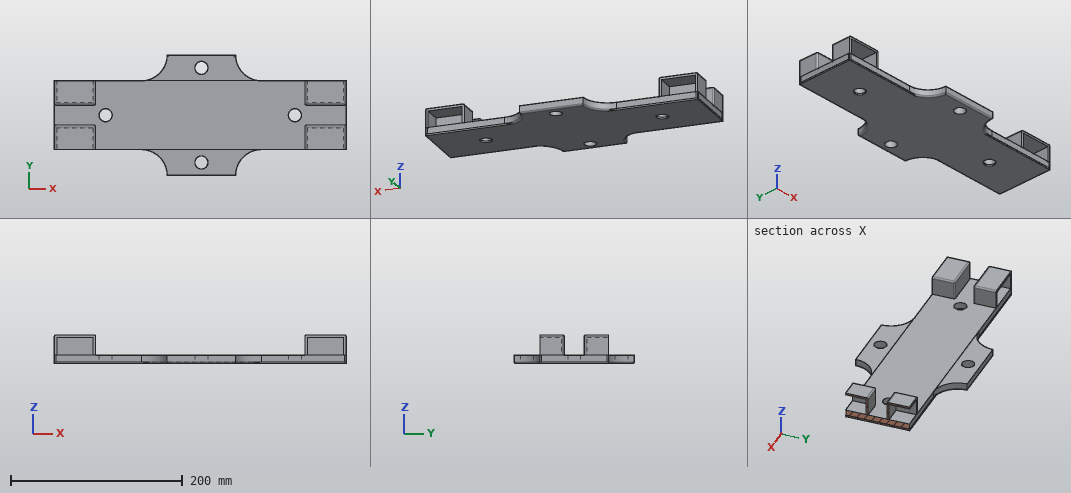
import cadquery as cq
import math

length = 340.0
strip_width = 80.2
plate_height = 10.0
edge_radius = 2.0

wing_depth = 30.0
wing_width = 80.0
wing_offset_x = 1.5
flank_radius = wing_depth

web_height = edge_radius

hole_diameter = 15.0
strip_hole_x = 110.0
wing_hole_y = 55.0

total_height = 33.3
box_length = 48.3
box_width = 28.5
box_height = total_height - plate_height
box_wall = 3.0

half_strip = strip_width / 2
corners = [(-1, -1), (-1, 1), (1, -1), (1, 1)]


def strip_block(bottom, height):
    """Sharp-edged block on the strip's outline, starting at the given height."""
    return cq.Workplane("XY").workplane(offset=bottom).rect(length, strip_width).extrude(height)


def drill_holes(body):
    """Cut the four mounting holes straight through a body."""
    centers = [
        (-strip_hole_x, 0),
        (strip_hole_x, 0),
        (wing_offset_x, -wing_hole_y),
        (wing_offset_x, wing_hole_y),
    ]
    holes = cq.Workplane("XY").pushPoints(centers).circle(hole_diameter / 2).extrude(plate_height)
    return body.cut(holes)


def make_strip():
    """Long bar with rounded corners that lies on the web, between the wings."""
    bar = strip_block(web_height, plate_height - web_height)
    return drill_holes(bar.edges("|Z").fillet(edge_radius))


def wing_blank():
    """Both wings and the stretch between them, with rounded bottom edges."""
    half_edge = wing_width / 2
    half_root = half_edge + flank_radius
    outer_y = half_strip + wing_depth
    arc_middle = flank_radius * math.sin(math.radians(45))
    middle_x = half_root - arc_middle
    middle_y = outer_y - arc_middle
    blank = (
        cq.Workplane("XY")
        .moveTo(-half_root, -half_strip)
        .threePointArc((-middle_x, -middle_y), (-half_edge, -outer_y))
        .lineTo(half_edge, -outer_y)
        .threePointArc((middle_x, -middle_y), (half_root, -half_strip))
        .lineTo(half_root, half_strip)
        .threePointArc((middle_x, middle_y), (half_edge, outer_y))
        .lineTo(-half_edge, outer_y)
        .threePointArc((-middle_x, middle_y), (-half_root, half_strip))
        .close()
        .extrude(plate_height)
        .faces("<Z")
        .fillet(edge_radius)
    )
    return blank.translate((wing_offset_x, 0, 0))


def corner_post(side_x, side_y, strip):
    """Slender post that fills the corner left free by the strip's rounding."""
    center_x = side_x * (length - edge_radius) / 2
    center_y = side_y * (strip_width - edge_radius) / 2
    square_post = (
        cq.Workplane("XY")
        .center(center_x, center_y)
        .rect(edge_radius, edge_radius)
        .extrude(plate_height)
    )
    return square_post.cut(strip)


def make_wing_plate(strip):
    """Two wings joined by the thin web under the strip, with a post on each corner of the web."""
    wings = wing_blank().cut(strip_block(0, plate_height))
    plate = wings.union(strip_block(0, web_height))
    for side_x, side_y in corners:
        plate = plate.union(corner_post(side_x, side_y, strip))
    return drill_holes(plate)


def make_box(side_x, side_y):
    """Box on one corner of the strip, open at the bottom and at its outer Y side."""
    from_open_side = (True, False, False)
    block = cq.Workplane("XY").box(box_length, box_width, box_height, centered=from_open_side)
    rounded = block.edges("(>Z or >Y) and (not <Y) and (not <Z)").fillet(edge_radius)
    cavity = cq.Workplane("XY").box(
        box_length - 2 * box_wall,
        box_width - box_wall,
        box_height - box_wall,
        centered=from_open_side,
    )
    box = rounded.cut(cavity)
    if side_y > 0:
        box = box.rotate((0, 0, 0), (0, 0, 1), 180)
    center_x = side_x * (length - box_length) / 2
    return box.translate((center_x, side_y * half_strip, plate_height))


strip = make_strip()
wing_plate = make_wing_plate(strip)
boxes = [make_box(side_x, side_y) for side_x, side_y in corners]

result = cq.Compound.makeCompound(
    [body.solids().val() for body in (strip, wing_plate, *boxes)]
)